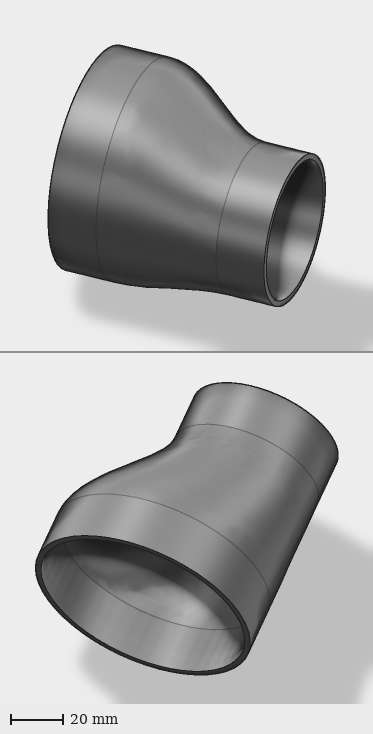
import cadquery as cq

total_length = 90.0
collar_length = 20.0
large_diameter = 88.9
small_diameter = 60.3
large_bore = 84.3
small_bore = 55.7
section_count = 13

transition_length = total_length - 2 * collar_length
small_end_start = total_length - collar_length
axis_offset = (large_diameter - small_diameter) / 2


def circle_wire(x, y, diameter):
    """Circle facing +X, centred at (x, y, 0)."""
    return cq.Wire.makeCircle(diameter / 2, cq.Vector(x, y, 0), cq.Vector(1, 0, 0))


def straight_pipe(x, y, diameter):
    """Solid collar that starts at x and runs towards +X."""
    return cq.Workplane("YZ", origin=(x, y, 0)).circle(diameter / 2).extrude(collar_length)


def transition(start_diameter, end_diameter):
    """Solid S-curved blend whose walls leave both collars tangentially."""
    sections = []
    for index in range(section_count):
        t = index / (section_count - 1)
        blend = t * t * (3 - 2 * t)
        x = collar_length + t * transition_length
        diameter = start_diameter + blend * (end_diameter - start_diameter)
        sections.append(circle_wire(x, -blend * axis_offset, diameter))
    return cq.Workplane(obj=cq.Solid.makeLoft(sections))


def reducer_body(start_diameter, end_diameter):
    """Solid of both collars and the transition between them."""
    large_collar = straight_pipe(0, 0, start_diameter)
    small_collar = straight_pipe(small_end_start, -axis_offset, end_diameter)
    return large_collar.union(transition(start_diameter, end_diameter)).union(small_collar)


outer_body = reducer_body(large_diameter, small_diameter)
flow_passage = reducer_body(large_bore, small_bore)
result = outer_body.cut(flow_passage)